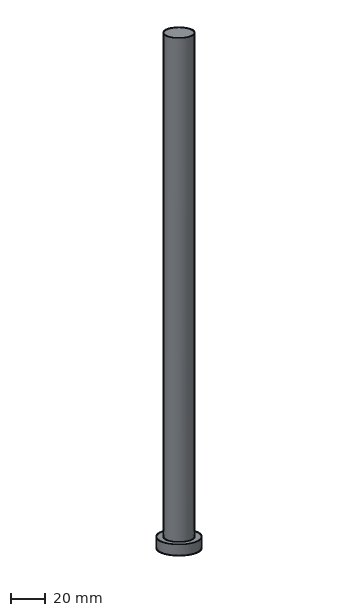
import cadquery as cq

total_length = 315.0
head_diameter = 26.0
head_height = 7.0
shank_diameter = 18.0

head = cq.Workplane("XY").circle(head_diameter / 2).extrude(head_height)
shank = cq.Workplane("XY").circle(shank_diameter / 2).extrude(total_length)

result = head.union(shank)